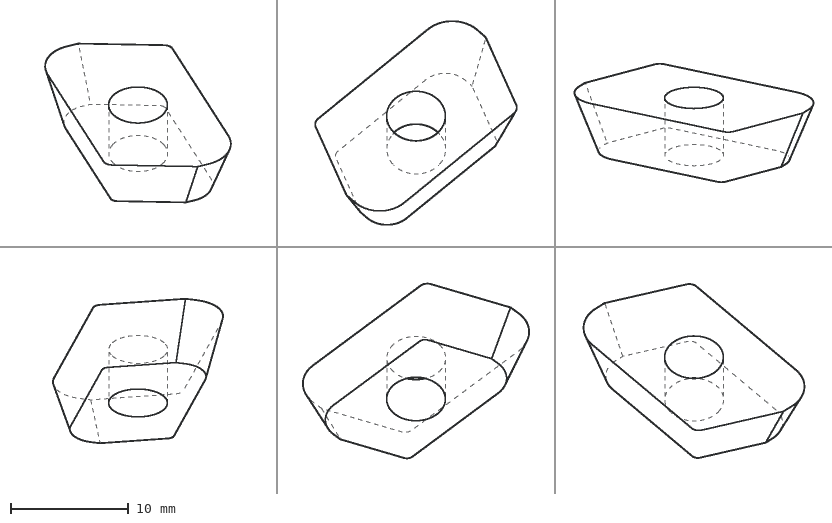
import cadquery as cq
import math

length = 19.6
width = 11.2
height = 5.2
bottom_scale = 0.8

nose_radius = 3.0
land_length = 1.0
slant_angle = 23.2
corner_radius = 0.8
hole_diameter = 5.0


def point_on_circle(center, radius, angle):
    """Point on a circle at the given angle in degrees."""
    turn = math.radians(angle)
    return (center[0] + radius * math.cos(turn), center[1] + radius * math.sin(turn))


def half_outline():
    """Points along the -Y half, from the -X large corner to the outer end of the +X slant."""
    half_length = length / 2
    half_width = width / 2

    nose_center = (-half_length + nose_radius, -half_width + nose_radius)
    nose_middle_angle = 180 + 45
    nose_start = (-half_length, nose_center[1])
    nose_middle = point_on_circle(nose_center, nose_radius, nose_middle_angle)
    nose_end = (nose_center[0], -half_width)

    slant_end = (half_length, half_width - nose_radius - land_length)
    slant_run = (slant_end[1] + half_width) * math.tan(math.radians(slant_angle))
    sharp_x = slant_end[0] - slant_run

    turn_angle = 90 - slant_angle
    tangent_length = corner_radius * math.tan(math.radians(turn_angle / 2))
    corner_center = (sharp_x - tangent_length, -half_width + corner_radius)
    corner_start = (corner_center[0], -half_width)
    corner_middle = point_on_circle(corner_center, corner_radius, -90 + turn_angle / 2)
    corner_end = point_on_circle(corner_center, corner_radius, -90 + turn_angle)

    return [nose_start, nose_middle, nose_end,
            corner_start, corner_middle, corner_end, slant_end]


def add_outline(plane, scale):
    """Closed outline, made of two halves that match under a half turn."""
    half = [(x * scale, y * scale) for x, y in half_outline()]
    opposite_half = [(-x, -y) for x, y in half]
    outline = plane.moveTo(*opposite_half[-1])
    for points in (half, opposite_half):
        nose_start, nose_middle, nose_end, corner_start, corner_middle, corner_end, slant_end = points
        outline = outline.lineTo(*nose_start)
        outline = outline.threePointArc(nose_middle, nose_end)
        outline = outline.lineTo(*corner_start)
        outline = outline.threePointArc(corner_middle, corner_end)
        outline = outline.lineTo(*slant_end)
    return outline.close()


def tapered_body():
    """Straight-sided taper from the small bottom face up to the large top face."""
    bottom = add_outline(cq.Workplane("XY"), bottom_scale)
    top = add_outline(bottom.workplane(offset=height), 1.0)
    return top.loft(ruled=True)


def through_hole():
    """Straight hole down the middle."""
    return cq.Workplane("XY").circle(hole_diameter / 2).extrude(height)


result = tapered_body().cut(through_hole())